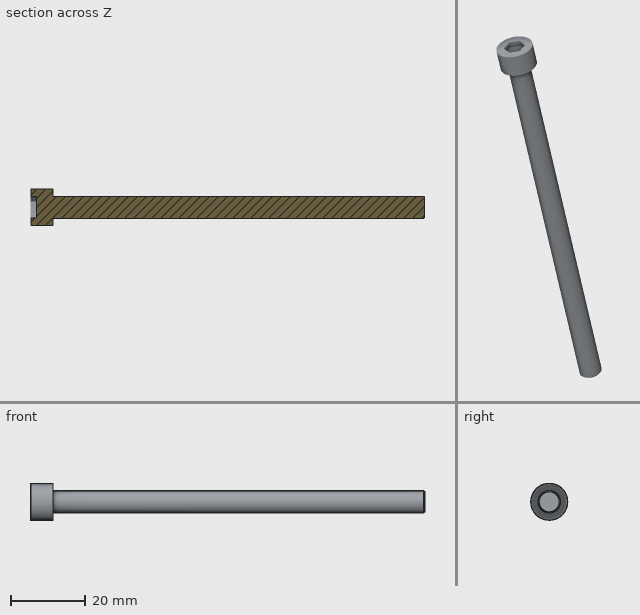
import cadquery as cq
import math

total_length = 106.0
head_diameter = 10.0
shank_diameter = 6.0
head_height = shank_diameter
tip_chamfer = 0.3
socket_across_flats = 5.0
socket_depth = 1.5

shank_length = total_length - head_height
socket_across_corners = socket_across_flats / math.cos(math.radians(30))

head = cq.Workplane("YZ").circle(head_diameter / 2).extrude(-head_height)

shank = (
    cq.Workplane("YZ")
    .circle(shank_diameter / 2)
    .extrude(shank_length)
    .faces(">X")
    .chamfer(tip_chamfer)
)

socket = (
    cq.Workplane("YZ", origin=(-head_height, 0, 0))
    .polygon(6, socket_across_corners)
    .extrude(socket_depth)
)

result = head.union(shank).cut(socket)